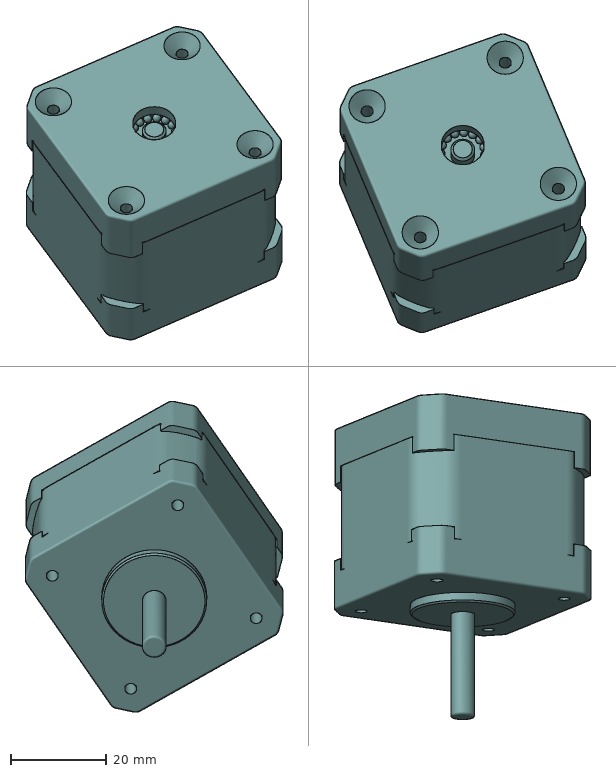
import cadquery as cq

body_width = 42.3
total_height = 63.3
body_height = 39.05

cap_height = 8.55
cap_ear_height = 12
cap_width = 42.15
cap_corner_cut = 3.85
cap_ear_inner = 14.75
flange_height = 8.0
flange_ear_height = 10.5
flange_corner_cut = 3.75
flange_ear_inner = 14.55
corner_blend_radius = 2.0
edge_radius = 0.5

stator_corner_radius = 25.65
stator_blend_radius = 4.4

pilot_diameter = 22.0
pilot_height = 2.0
pilot_chamfer = 0.4
shaft_diameter = 5.0
shaft_tip_radius = 0.5
shaft_inner_chamfer = 0.5
shaft_top_depth = 2.1

screw_spacing = 31
screw_diameter = 2.5
countersink_diameter = 7.6
countersink_angle = 90

bore_diameter = 9.0
bore_depth = 2.55
race_diameter = 10.8
race_depth = 5.05
ball_count = 15
ball_radius = 0.9
ball_pitch_radius = 4.6
ball_depth = (bore_depth + race_depth) / 2


def chamfered_square(width, height, corner_cut):
    """Square prism standing on Z = 0 with cut corners and blended vertical edges."""
    prism = cq.Workplane("XY").rect(width, width).extrude(height)
    prism = prism.edges("|Z").chamfer(corner_cut)
    return prism.edges("|Z").fillet(corner_blend_radius)


def corner_posts(width, height, ear_inner):
    """Four square posts filling the corners outside +/- ear_inner in X and Y."""
    size = width / 2 - ear_inner
    spacing = width / 2 + ear_inner
    centers = cq.Workplane("XY").rect(spacing, spacing, forConstruction=True).vertices()
    return centers.rect(size, size).extrude(height)


def end_plate(width, height, ear_height, corner_cut, ear_inner):
    """Plate with its outer face on Z = 0 and ears rising from its corners."""
    blank = chamfered_square(width, ear_height, corner_cut).faces("<Z").edges().fillet(edge_radius)
    plate_zone = cq.Workplane("XY").rect(width, width).extrude(height)
    return blank.intersect(plate_zone.union(corner_posts(width, ear_height, ear_inner)))


def make_stator():
    """Middle block between the flange and the cap."""
    height = body_height - cap_height - flange_height
    base = cq.Workplane("XY").workplane(offset=flange_height)
    square = base.rect(body_width, body_width).extrude(height)
    block = square.intersect(base.circle(stator_corner_radius).extrude(height))
    return block.edges("|Z").fillet(stator_blend_radius)


def make_body():
    flange = end_plate(body_width, flange_height, flange_ear_height, flange_corner_cut, flange_ear_inner)
    cap = end_plate(cap_width, cap_height, cap_ear_height, cap_corner_cut, cap_ear_inner)
    cap = cap.rotate((0, 0, 0), (1, 0, 0), 180).translate((0, 0, body_height))
    return make_stator().union(flange).union(cap)


def cut_screw_holes(body):
    top = cq.Workplane("XY").workplane(offset=body_height)
    return (
        body.copyWorkplane(top)
        .rect(screw_spacing, screw_spacing, forConstruction=True)
        .vertices()
        .cskHole(screw_diameter, countersink_diameter, countersink_angle)
    )


def cut_bearing_pocket(body):
    """Bore through the cap face opening into the wider bearing race."""
    bore = cq.Workplane("XY").workplane(offset=body_height).circle(bore_diameter / 2).extrude(-race_depth)
    race_floor = cq.Workplane("XY").workplane(offset=body_height - race_depth)
    race = race_floor.circle(race_diameter / 2).extrude(race_depth - bore_depth)
    return body.cut(bore).cut(race)


def make_balls():
    """Ring of bearing balls slightly sunk into the race wall."""
    balls = cq.Workplane("XY").workplane(offset=body_height - ball_depth)
    return balls.polarArray(ball_pitch_radius, 0, 360, ball_count).sphere(ball_radius)


def make_pilot():
    pilot = cq.Workplane("XY").circle(pilot_diameter / 2).extrude(-pilot_height)
    return pilot.faces("<Z").chamfer(pilot_chamfer)


def make_shaft():
    tip_z = body_height - total_height
    length = total_height - shaft_top_depth
    shaft = cq.Workplane("XY").workplane(offset=tip_z).circle(shaft_diameter / 2).extrude(length)
    shaft = shaft.faces("<Z").edges().fillet(shaft_tip_radius)
    return shaft.faces(">Z").chamfer(shaft_inner_chamfer)


body = cut_bearing_pocket(cut_screw_holes(make_body()))
result = body.union(make_balls()).union(make_pilot()).union(make_shaft())